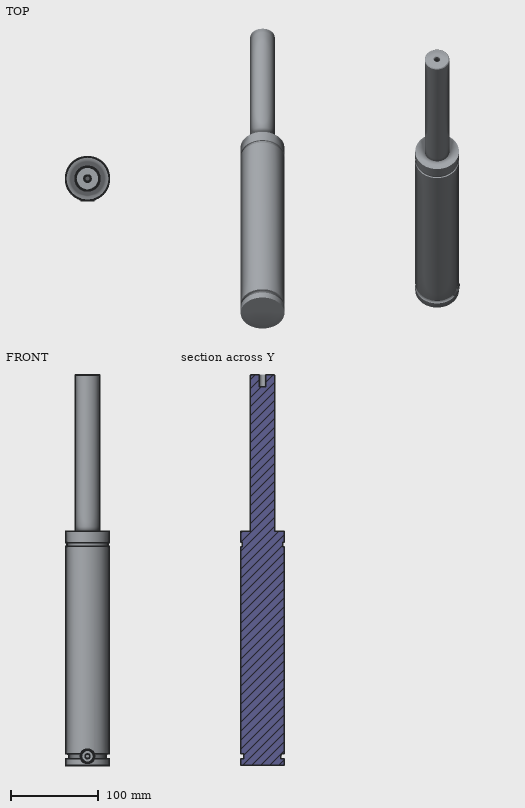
import cadquery as cq

total_height = 445.0
body_diameter = 50.0
body_height = 267.0
rod_diameter = 28.0
rod_chamfer = 1.0

base_groove_bottom = 8.0
base_groove_top = 13.5
base_groove_depth = 3.5
base_groove_fillet = 1.5
collar_groove_bottom = 249.5
collar_groove_top = 253.5
collar_groove_depth = 1.5

rod_hole_diameter = 6.5
rod_hole_depth = 13.5
rod_hole_chamfer = 0.65

plug_height = (base_groove_bottom + base_groove_top) / 2
plug_diameter = 16.0
plug_face_diameter = 14.0
plug_length = 12.5
plug_hole_diameter = 5.5
plug_hole_depth = 1.0
plug_chamfer = (plug_diameter - plug_face_diameter) / 2

body_radius = body_diameter / 2


def cylinder(diameter, bottom, top):
    """Upright cylinder on the main axis between two heights."""
    return cq.Workplane("XY").workplane(offset=bottom).circle(diameter / 2).extrude(top - bottom)


def ring_groove(bottom, top, depth):
    """Material removed by a square groove around the body."""
    return cylinder(body_diameter, bottom, top).cut(cylinder(body_diameter - 2 * depth, bottom, top))


def plug_cylinder(diameter, depth):
    """Cylinder reaching inward along +Y from the outermost -Y point of the body."""
    return (
        cq.Workplane("XZ", origin=(0, -body_radius, plug_height))
        .circle(diameter / 2)
        .extrude(-depth)
    )


body = cylinder(body_diameter, 0, body_height)
base_groove = ring_groove(base_groove_bottom, base_groove_top, base_groove_depth)
innermost_edge = cq.selectors.RadiusNthSelector(0)
base_groove = base_groove.faces(">Z").edges(innermost_edge).fillet(base_groove_fillet)
body = body.cut(base_groove)
body = body.cut(ring_groove(collar_groove_bottom, collar_groove_top, collar_groove_depth))

rod = cylinder(rod_diameter, body_height, total_height).faces(">Z").chamfer(rod_chamfer)
rod = rod.cut(cylinder(rod_hole_diameter, total_height - rod_hole_depth, total_height))
rod = rod.faces(">Z").edges(innermost_edge).chamfer(rod_hole_chamfer)

plug = plug_cylinder(plug_diameter, plug_length).faces("<Y").chamfer(plug_chamfer)
plug = plug.cut(plug_cylinder(plug_hole_diameter, plug_hole_depth))
body = body.cut(plug_cylinder(plug_diameter, plug_length))

result = body.union(rod).union(plug)